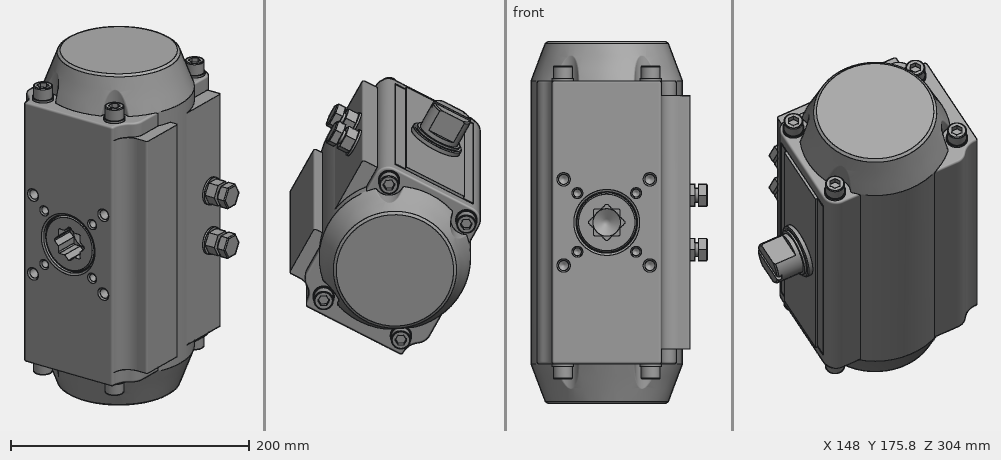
import cadquery as cq
import math


BODY_HALF_HEIGHT = 106.5
CAP_FLANGE_Z = 119.0
CAP_TOP_Z = 152.0
BARREL_RADIUS = 63.5
DOME_TOP_RADIUS = 51.0
DOME_RIM_CHAMFER = 1.8
FLANGE_EDGE_FILLET = 1.8

SHOULDER_HALF_WIDTH = 49.0
SHOULDER_Y = 69.3
SHOULDER_RADIUS = 12.0
SHOULDER_BOTTOM_Y = 38.0
SKIRT_HALF_WIDTH = 58.5
SKIRT_TOP_Y = -24.3
SKIRT_ROUND_START_Y = -47.5
SKIRT_RADIUS = 12.2
NECK_RADIUS = 16.0
FOOT_HALF_WIDTH = 46.0
FOOT_Y = -73.3
FOOT_CORNER_RADIUS = 2.0

SCREW_X = 36.8
SCREW_Y = 58.0
SCREW_HEAD_DIAMETER = 16.0
SCREW_HEAD_TOP_Z = 131.3
SCREW_HEAD_CHAMFER = 0.75
SCREW_SOCKET_FLATS = 8.5
SCREW_SOCKET_DEPTH = 5.0
WASHER_DIAMETER = 18.0
WASHER_THICKNESS = 1.8
SCREW_POCKET_RADIUS = 13.0
SCREW_POCKET_FILLET = 1.5

SHOULDER_PAD_HALF_WIDTH = 37.0
SHOULDER_PAD_Y = 70.0
MOUNTING_PAD_HALF_WIDTH = 27.7
MOUNTING_PAD_Y = 71.7

SHAFT_COLLAR_DIAMETER = 46.0
SHAFT_COLLAR_Y = 76.3
SHAFT_COLLAR_CHAMFER = 1.0
SHAFT_RING_DIAMETER = 40.0
SHAFT_RING_Y = 78.0
SHAFT_DIAMETER = 35.5
SHAFT_TIP_Y = 102.5
SHAFT_TIP_CHAMFER = 1.2
SHAFT_FLATS = 26.8
SHAFT_FLATS_START_Y = 82.0
SHAFT_SLOT_WIDTH = 4.3
SHAFT_SLOT_DEPTH = 4.3

PORT_BLOCK_X = 62.5
PORT_BLOCK_Y = 60.0
LOWER_BLOCK_X = 70.0
LOWER_BLOCK_TOP_Y = -12.8
LOWER_BLOCK_BOTTOM_Y = -57.0
BLOCK_EDGE_FILLET = 1.8
FITTING_Y = 45.3
FITTING_Z = 22.8
FITTING_WASHER_DIAMETER = 24.0
FITTING_WASHER_X = 64.5
FITTING_HEX_FLATS = 19.0
FITTING_HEX_END_X = 74.0
FITTING_NECK_DIAMETER = 12.0
FITTING_NUT_START_X = 77.0
FITTING_NUT_END_X = 84.5
FITTING_NUT_CHAMFER = 1.0

DRIVE_RECESS_MOUTH_RADIUS = 27.7
DRIVE_RECESS_RADIUS = 25.8
DRIVE_RECESS_BEVEL_DEPTH = 1.0
DRIVE_FACE_DEPTH = 1.5
DRIVE_FACE_RADIUS = 23.7
DRIVE_RADIUS = 25.0
DRIVE_GROOVE_DEPTH = 3.5
STAR_SOCKET_FLATS = 22.5
STAR_SOCKET_CORNER_DIAMETER = 30.5
STAR_SOCKET_BORE_DIAMETER = 23.0
STAR_SOCKET_DEPTH = 24.0
DRILL_POINT_ANGLE = 118.0
LARGE_HOLE_OFFSET = 36.2
LARGE_HOLE_DIAMETER = 8.5
LARGE_HOLE_MOUTH = 11.2
LARGE_HOLE_DEPTH = 15.2
SMALL_HOLE_OFFSET = 24.5
SMALL_HOLE_DIAMETER = 6.7
SMALL_HOLE_MOUTH = 9.0
SMALL_HOLE_DEPTH = 12.2


def corners(x, y):
    """Four points mirrored about both axes."""
    return [(sx * x, sy * y) for sx in (-1, 1) for sy in (-1, 1)]


def box(x_range, y_range, z_range):
    """Axis-aligned box between the given limits."""
    sides = [high - low for low, high in (x_range, y_range, z_range)]
    return cq.Workplane("XY").box(*sides, centered=False).translate((x_range[0], y_range[0], z_range[0]))


def cylinder_y(diameter, start, end):
    """Cylinder on the Y axis."""
    return cq.Workplane("XZ", origin=(0, start, 0)).circle(diameter / 2).extrude(start - end)


def revolve_y(profile):
    """Turn a closed (radius, y) profile about the Y axis."""
    return cq.Workplane("XY").polyline(profile).close().revolve(360, (0, 0, 0), (0, 1, 0))


def hexagon_diameter(flats):
    """Corner-to-corner size of a hexagon with the given width across flats."""
    return flats / math.cos(math.radians(30))



def make_casing(z_start, height):
    """Prism of the casing outline: square shoulders above, and side walls that roll into a neck and foot below."""
    round_x = SKIRT_HALF_WIDTH - SKIRT_RADIUS
    hollow_x = FOOT_HALF_WIDTH + NECK_RADIUS
    centre_distance = SKIRT_RADIUS + NECK_RADIUS
    centre_drop = math.sqrt(centre_distance**2 - (hollow_x - round_x) ** 2)
    hollow_y = SKIRT_ROUND_START_Y - centre_drop
    turn = math.atan2(centre_drop, hollow_x - round_x)

    def on_round(angle):
        return (round_x + SKIRT_RADIUS * math.cos(angle), SKIRT_ROUND_START_Y - SKIRT_RADIUS * math.sin(angle))

    def on_hollow(angle):
        return (hollow_x - NECK_RADIUS * math.cos(angle), hollow_y + NECK_RADIUS * math.sin(angle))

    return (
        cq.Workplane("XY", origin=(0, 0, z_start))
        .moveTo(0, SHOULDER_Y)
        .lineTo(SHOULDER_HALF_WIDTH - SHOULDER_RADIUS, SHOULDER_Y)
        .radiusArc((SHOULDER_HALF_WIDTH, SHOULDER_Y - SHOULDER_RADIUS), SHOULDER_RADIUS)
        .lineTo(SHOULDER_HALF_WIDTH, SHOULDER_BOTTOM_Y)
        .lineTo(SKIRT_HALF_WIDTH, SKIRT_TOP_Y)
        .lineTo(SKIRT_HALF_WIDTH, SKIRT_ROUND_START_Y)
        .threePointArc(on_round(turn / 2), on_round(turn))
        .threePointArc(on_hollow(turn / 2), on_hollow(0))
        .lineTo(FOOT_HALF_WIDTH, FOOT_Y + FOOT_CORNER_RADIUS)
        .radiusArc((FOOT_HALF_WIDTH - FOOT_CORNER_RADIUS, FOOT_Y), FOOT_CORNER_RADIUS)
        .lineTo(0, FOOT_Y)
        .mirrorY()
        .extrude(height)
    )


def barrel(z_start, height):
    return cq.Workplane("XY", origin=(0, 0, z_start)).circle(BARREL_RADIUS).extrude(height)


def make_lower_block():
    """Block along the housing, hollowed on its underside by a quarter round down to the foot."""
    foot_corner_y = FOOT_Y + FOOT_CORNER_RADIUS
    hollow_radius = LOWER_BLOCK_BOTTOM_Y - foot_corner_y
    block = (
        cq.Workplane("XY", origin=(0, 0, -BODY_HALF_HEIGHT))
        .moveTo(0, LOWER_BLOCK_TOP_Y)
        .lineTo(LOWER_BLOCK_X, LOWER_BLOCK_TOP_Y)
        .lineTo(LOWER_BLOCK_X, LOWER_BLOCK_BOTTOM_Y)
        .lineTo(FOOT_HALF_WIDTH + hollow_radius, LOWER_BLOCK_BOTTOM_Y)
        .radiusArc((FOOT_HALF_WIDTH, foot_corner_y), -hollow_radius)
        .lineTo(0, foot_corner_y)
        .close()
        .extrude(2 * BODY_HALF_HEIGHT)
    )
    return block.edges("|Z and >X").fillet(BLOCK_EDGE_FILLET)


def make_housing():
    height = 2 * BODY_HALF_HEIGHT
    z_range = (-BODY_HALF_HEIGHT, BODY_HALF_HEIGHT)
    housing = barrel(-BODY_HALF_HEIGHT, height)
    housing = housing.union(make_casing(-BODY_HALF_HEIGHT, height))
    for half_width, top in (
        (SHOULDER_PAD_HALF_WIDTH, SHOULDER_PAD_Y),
        (MOUNTING_PAD_HALF_WIDTH, MOUNTING_PAD_Y),
    ):
        housing = housing.union(box((-half_width, half_width), (0, top), z_range))
    port_block = box((0, PORT_BLOCK_X), (0, PORT_BLOCK_Y), z_range)
    port_block = port_block.edges("|Z and >X and >Y").fillet(BLOCK_EDGE_FILLET)
    return housing.union(port_block).union(make_lower_block())


def make_dome():
    """Conical end with a bevelled rim and a relief pocket around each screw."""
    dome = (
        cq.Workplane("XZ")
        .moveTo(0, CAP_FLANGE_Z)
        .lineTo(BARREL_RADIUS, CAP_FLANGE_Z)
        .lineTo(DOME_TOP_RADIUS, CAP_TOP_Z)
        .lineTo(0, CAP_TOP_Z)
        .close()
        .revolve(360, (0, 0, 0), (0, 1, 0))
    )
    dome = dome.faces(">Z").edges().chamfer(DOME_RIM_CHAMFER)
    pockets = (
        cq.Workplane("XY", origin=(0, 0, CAP_FLANGE_Z))
        .pushPoints(corners(SCREW_X, SCREW_Y))
        .circle(SCREW_POCKET_RADIUS)
        .extrude(CAP_TOP_Z - CAP_FLANGE_Z)
    )
    dome = dome.cut(pockets)
    pocket_rims = dome.faces("%CONE").edges("not %CIRCLE")
    return pocket_rims.fillet(SCREW_POCKET_FILLET)


def make_screws():
    """Washers and socket-head screws seated on the flange."""
    places = corners(SCREW_X, SCREW_Y)
    seat = cq.Workplane("XY", origin=(0, 0, CAP_FLANGE_Z)).pushPoints(places)
    washers = seat.circle(WASHER_DIAMETER / 2).extrude(WASHER_THICKNESS)
    heads = seat.circle(SCREW_HEAD_DIAMETER / 2).extrude(SCREW_HEAD_TOP_Z - CAP_FLANGE_Z)
    heads = heads.faces(">Z").edges().chamfer(SCREW_HEAD_CHAMFER)
    socket = (
        cq.Workplane("XY")
        .polygon(6, hexagon_diameter(SCREW_SOCKET_FLATS))
        .extrude(SCREW_SOCKET_DEPTH)
        .rotate((0, 0, 0), (0, 0, 1), 30)
    )
    for x, y in places:
        heads = heads.cut(socket.translate((x, y, SCREW_HEAD_TOP_Z - SCREW_SOCKET_DEPTH)))
    return washers.union(heads)


def make_cap():
    height = CAP_FLANGE_Z - BODY_HALF_HEIGHT
    flange = make_casing(BODY_HALF_HEIGHT, height)
    flange = flange.faces(">Z").edges().fillet(FLANGE_EDGE_FILLET)
    flange = flange.union(barrel(BODY_HALF_HEIGHT, height))
    return flange.union(make_dome()).union(make_screws())



def make_shaft():
    shaft = cylinder_y(SHAFT_DIAMETER, 0, SHAFT_TIP_Y).faces(">Y").edges().chamfer(SHAFT_TIP_CHAMFER)
    flat_limit = SHAFT_FLATS / 2
    across = (-SHAFT_DIAMETER, SHAFT_DIAMETER)
    flat_cut = box(across, (SHAFT_FLATS_START_Y, SHAFT_TIP_Y), (flat_limit, SHAFT_DIAMETER))
    shaft = shaft.cut(flat_cut).cut(flat_cut.mirror("XY"))
    slot_half = SHAFT_SLOT_WIDTH / 2
    slot = box(across, (SHAFT_TIP_Y - SHAFT_SLOT_DEPTH, SHAFT_TIP_Y), (-slot_half, slot_half))
    collar = cylinder_y(SHAFT_COLLAR_DIAMETER, 0, SHAFT_COLLAR_Y)
    collar = collar.faces(">Y").edges().chamfer(SHAFT_COLLAR_CHAMFER)
    ring = cylinder_y(SHAFT_RING_DIAMETER, 0, SHAFT_RING_Y)
    return shaft.cut(slot).union(collar).union(ring)



def make_fitting():
    """Washer, hexagon, neck and end nut along X, with hexagon corners toward Y."""
    def stage(start):
        return cq.Workplane("YZ", origin=(start, 0, 0))

    hex_diameter = hexagon_diameter(FITTING_HEX_FLATS)
    washer = stage(PORT_BLOCK_X).circle(FITTING_WASHER_DIAMETER / 2).extrude(FITTING_WASHER_X - PORT_BLOCK_X)
    hexagon = stage(PORT_BLOCK_X).polygon(6, hex_diameter).extrude(FITTING_HEX_END_X - PORT_BLOCK_X)
    neck = stage(PORT_BLOCK_X).circle(FITTING_NECK_DIAMETER / 2).extrude(FITTING_NUT_END_X - PORT_BLOCK_X)
    nut_length = FITTING_NUT_END_X - FITTING_NUT_START_X
    nut = stage(FITTING_NUT_START_X).polygon(6, hex_diameter).extrude(nut_length)
    nut = nut.faces(">X").edges().chamfer(FITTING_NUT_CHAMFER)
    return washer.union(hexagon).union(neck).union(nut).translate((0, FITTING_Y, 0))



def drilled_bore(diameter, depth):
    """Blind bore from the foot face, ending in a drill point."""
    radius = diameter / 2
    end = FOOT_Y + depth
    point = radius / math.tan(math.radians(DRILL_POINT_ANGLE / 2))
    return revolve_y([(0, FOOT_Y), (radius, FOOT_Y), (radius, end), (0, end + point)])


def tapped_hole(diameter, mouth, depth):
    """Drilled bore with a 45 degree countersink at its mouth."""
    mouth_radius = mouth / 2
    countersink = revolve_y([(0, FOOT_Y), (mouth_radius, FOOT_Y), (0, FOOT_Y + mouth_radius)])
    return drilled_bore(diameter, depth).union(countersink)


def make_drive_recess():
    """Bevelled recess around the drive end, which leaves a narrow groove around its chamfered face."""
    drive_face_y = FOOT_Y + DRIVE_FACE_DEPTH
    groove_floor_y = FOOT_Y + DRIVE_GROOVE_DEPTH
    return revolve_y([
        (0, FOOT_Y),
        (DRIVE_RECESS_MOUTH_RADIUS, FOOT_Y),
        (DRIVE_RECESS_RADIUS, FOOT_Y + DRIVE_RECESS_BEVEL_DEPTH),
        (DRIVE_RECESS_RADIUS, groove_floor_y),
        (DRIVE_RADIUS, groove_floor_y),
        (DRIVE_RADIUS, drive_face_y + DRIVE_RADIUS - DRIVE_FACE_RADIUS),
        (DRIVE_FACE_RADIUS, drive_face_y),
        (0, drive_face_y),
    ])


def make_star_socket():
    """Two crossed squares with trimmed corners, ending in a drill point."""
    end = FOOT_Y + STAR_SOCKET_DEPTH
    half = STAR_SOCKET_FLATS / 2
    square = box((-half, half), (FOOT_Y, end), (-half, half))
    star = square.union(square.rotate((0, 0, 0), (0, 1, 0), 45))
    star = star.intersect(cylinder_y(STAR_SOCKET_CORNER_DIAMETER, FOOT_Y, end))
    return star.union(drilled_bore(STAR_SOCKET_BORE_DIAMETER, STAR_SOCKET_DEPTH))



cap = make_cap()
result = make_housing().union(cap).union(cap.mirror("XY")).union(make_shaft())

for fitting_z in (-FITTING_Z, FITTING_Z):
    result = result.union(make_fitting().translate((0, 0, fitting_z)))

result = result.cut(make_drive_recess()).cut(make_star_socket())

for offset, diameter, mouth, depth in (
    (LARGE_HOLE_OFFSET, LARGE_HOLE_DIAMETER, LARGE_HOLE_MOUTH, LARGE_HOLE_DEPTH),
    (SMALL_HOLE_OFFSET, SMALL_HOLE_DIAMETER, SMALL_HOLE_MOUTH, SMALL_HOLE_DEPTH),
):
    for x, z in corners(offset, offset):
        result = result.cut(tapped_hole(diameter, mouth, depth).translate((x, 0, z)))